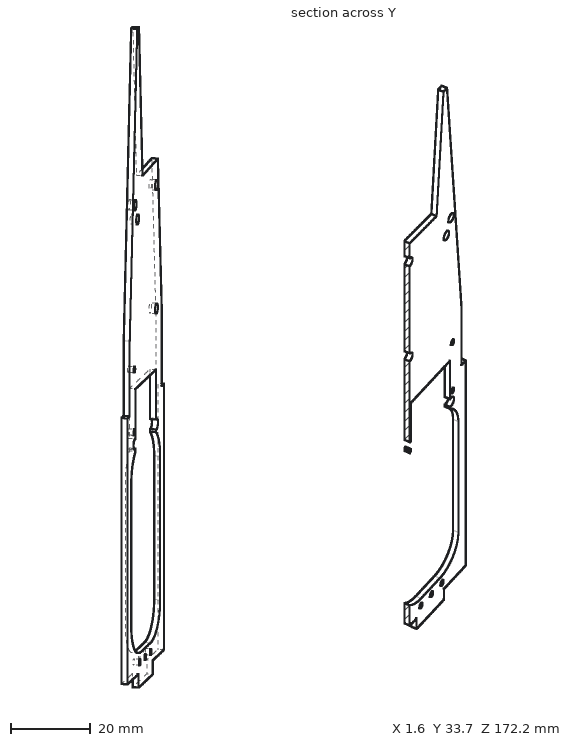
import cadquery as cq

THICKNESS = 1.6
HEIGHT = 172.2

BASE_WIDTH = 33.7
BASE_BOTTOM = 3.6
BASE_TOP = 73.0
TAB_WIDTH = 13.0
BODY_WIDTH = 29.6
TAPER_START = 92.6
SHOULDER_OUTER = (11.2, 133.3)
SHOULDER_INNER = (-3.0, 132.5)
TIP_LEFT = -6.2
TIP_RIGHT = -8.0

WINDOW_WIDTH = 26.5
WINDOW_BOTTOM = 8.8
WINDOW_TOP = 63.9
WINDOW_RADIUS = 8.8
NECK_WIDTH = 18.6
NECK_TOP = 78.7
RELIEF_DIAMETER = 2.8
RELIEF_OFFSET = 9.8
RELIEF_HEIGHT = 64.4

MOUNT_DIAMETER = 2.5
MOUNT_OFFSET = 9.8
UPPER_MOUNT_HEIGHT = 126.7
LOWER_MOUNT_HEIGHT = 94.5
MOUNT_HOLES = [
    (MOUNT_OFFSET, UPPER_MOUNT_HEIGHT),
    (-MOUNT_OFFSET, UPPER_MOUNT_HEIGHT),
    (MOUNT_OFFSET, LOWER_MOUNT_HEIGHT),
]
CABLE_DIAMETER = 2.5
CABLE_HOLE = (-7.5, 122.4)
PIN_DIAMETER = 1.5
SIDE_PIN_OFFSET = -10.5
SIDE_PIN_HEIGHTS = [67.7, 84.0]
BOTTOM_PIN_CENTER = -0.5
BOTTOM_PIN_SPACING = 5.0
BOTTOM_PIN_HEIGHT = 6.4


def extrude_centered(sketch):
    """Extrude a YZ sketch symmetrically through the plate thickness."""
    return sketch.extrude(THICKNESS / 2, both=True)


def box_between(width, bottom, top):
    """Plate-thick block centred on Y = 0 between two heights."""
    sketch = cq.Workplane("YZ").center(0, (bottom + top) / 2).rect(width, top - bottom)
    return extrude_centered(sketch)


def discs(centers, diameter):
    """Plate-thick cylinders at the given (Y, Z) centres."""
    return extrude_centered(cq.Workplane("YZ").pushPoints(centers).circle(diameter / 2))


def make_plate():
    """Base, bottom tab, tapered body and the off-centre pointed tongue."""
    outline = [
        (TAB_WIDTH / 2, 0),
        (TAB_WIDTH / 2, BASE_BOTTOM),
        (BASE_WIDTH / 2, BASE_BOTTOM),
        (BASE_WIDTH / 2, BASE_TOP),
        (BODY_WIDTH / 2, BASE_TOP),
        (BODY_WIDTH / 2, TAPER_START),
        SHOULDER_OUTER,
        SHOULDER_INNER,
        (TIP_LEFT, HEIGHT),
        (TIP_RIGHT, HEIGHT),
        (-BODY_WIDTH / 2, TAPER_START),
        (-BODY_WIDTH / 2, BASE_TOP),
        (-BASE_WIDTH / 2, BASE_TOP),
        (-BASE_WIDTH / 2, BASE_BOTTOM),
        (-TAB_WIDTH / 2, BASE_BOTTOM),
        (-TAB_WIDTH / 2, 0),
    ]
    return extrude_centered(cq.Workplane("YZ").polyline(outline).close())


def cut_window(plate):
    """Cut the rounded window, its neck and the two side reliefs."""
    window = box_between(WINDOW_WIDTH, WINDOW_BOTTOM, WINDOW_TOP).edges("|X").fillet(WINDOW_RADIUS)
    neck = box_between(NECK_WIDTH, (WINDOW_BOTTOM + WINDOW_TOP) / 2, NECK_TOP)
    reliefs = discs([(side * RELIEF_OFFSET, RELIEF_HEIGHT) for side in (-1, 1)], RELIEF_DIAMETER)
    return plate.cut(window).cut(neck).cut(reliefs)


def drill_holes(plate):
    """Drill the mounting holes, the cable hole and the small pin holes."""
    side_pins = [(SIDE_PIN_OFFSET, height) for height in SIDE_PIN_HEIGHTS]
    bottom_pins = [
        (BOTTOM_PIN_CENTER + step * BOTTOM_PIN_SPACING, BOTTOM_PIN_HEIGHT)
        for step in (-1, 0, 1)
    ]
    plate = plate.cut(discs(MOUNT_HOLES, MOUNT_DIAMETER))
    plate = plate.cut(discs([CABLE_HOLE], CABLE_DIAMETER))
    return plate.cut(discs(side_pins + bottom_pins, PIN_DIAMETER))


result = drill_holes(cut_window(make_plate()))